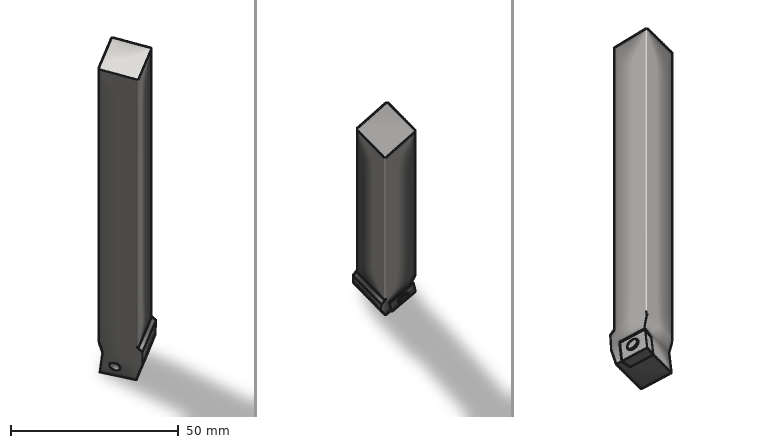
import cadquery as cq
import math


TOTAL_LENGTH = 150.0
SHANK_SIDE = 12.6
SHANK_EDGE_RADIUS = 0.5

HEAD_RIGHT = 14.0
STEP_TOP = 17.4
STEP_BOTTOM = 16.2
TAPER_TOP = 9.9
TAPER_BOTTOM_X = 12.0
GULLET_TOP = 15.9
GULLET_BOTTOM = 10.6
GULLET_RADIUS = 4.5
RAKE_DROP = 0.5
RAKE_RAMP_END = 11.2

INSERT_ANGLE = 80.0
INSERT_WIDTH = 9.6
INSERT_THICKNESS = 3.6
INSERT_TOP = 12.5
CLEARANCE_ANGLE = 7.0
BOSS_DIAMETER = 3.9
BOSS_TOP = 12.9
SCREW_HOLE_DIAMETER = 3.5

lead = (90.0 - INSERT_ANGLE) / 2
lead_slope = math.tan(math.radians(lead))
insert_side = INSERT_WIDTH / math.sin(math.radians(INSERT_ANGLE))
seat_y = INSERT_TOP - INSERT_THICKNESS
flank_inset = INSERT_THICKNESS * math.tan(math.radians(CLEARANCE_ANGLE))
along = insert_side * math.cos(math.radians(lead))
across = insert_side * math.sin(math.radians(lead))
insert_centre = (along + across) / 2
seat_corner = flank_inset / math.cos(math.radians(lead)) / (1 - lead_slope)


def edge_offset(distance):
    """Offset of a head edge, flush with the insert's narrow face, this far from the tip."""
    return seat_corner + (distance - seat_corner) * lead_slope


def prism(points, y_start, y_end):
    """Extrude an XZ outline from y_start to y_end."""
    plane = cq.Workplane("XZ", origin=(0, y_start, 0))
    return plane.polyline(points).close().extrude(y_start - y_end)


def rod(diameter, y_start, y_end):
    """Cylinder along Y through the insert's centre."""
    plane = cq.Workplane("XZ", origin=(insert_centre, y_start, insert_centre))
    return plane.circle(diameter / 2).extrude(y_start - y_end)


def make_insert_body():
    """Rhombus that narrows away from its cutting face."""
    outline = [(0, 0), (along, across), (along + across, along + across), (across, along)]
    cutting_face = cq.Workplane("XZ", origin=(0, INSERT_TOP, 0))
    return cutting_face.polyline(outline).close().extrude(INSERT_THICKNESS, taper=CLEARANCE_ANGLE)


def make_insert():
    """Cutting insert with the low round boss at its centre."""
    return make_insert_body().union(rod(BOSS_DIAMETER, seat_y, BOSS_TOP))


def make_bar():
    """Shank and head outline in one, with the shank's long edges and the gullet rounded."""
    outline = [
        (0, TOTAL_LENGTH),
        (SHANK_SIDE, TOTAL_LENGTH),
        (SHANK_SIDE, STEP_TOP),
        (HEAD_RIGHT, STEP_BOTTOM),
        (HEAD_RIGHT, TAPER_TOP),
        (TAPER_BOTTOM_X, edge_offset(TAPER_BOTTOM_X)),
        (seat_corner, seat_corner),
        (edge_offset(GULLET_BOTTOM), GULLET_BOTTOM),
        (0, GULLET_TOP),
    ]
    bar = prism(outline, 0, SHANK_SIDE)
    gullet_point = (edge_offset(GULLET_BOTTOM), SHANK_SIDE / 2, GULLET_BOTTOM)
    gullet_edge = cq.selectors.NearestToPointSelector(gullet_point)
    bar = bar.edges(gullet_edge).fillet(GULLET_RADIUS)
    shank_middle = (STEP_TOP + TOTAL_LENGTH) / 2
    for x in (0, SHANK_SIDE):
        for y in (0, SHANK_SIDE):
            long_edge = cq.selectors.NearestToPointSelector((x, y, shank_middle))
            bar = bar.edges("|Z").edges(long_edge).fillet(SHANK_EDGE_RADIUS)
    return bar


def make_rake_cut():
    """Material taken off the back of the head: a slope, then a flat."""
    rake_y = SHANK_SIDE - RAKE_DROP
    profile = [
        (SHANK_SIDE, STEP_TOP),
        (rake_y, RAKE_RAMP_END),
        (rake_y, 0),
        (SHANK_SIDE, 0),
    ]
    return cq.Workplane("YZ").polyline(profile).close().extrude(HEAD_RIGHT)


def make_holder():
    """Bar with the insert's pocket and the screw hole behind it."""
    holder = make_bar().cut(make_rake_cut()).cut(make_insert_body())
    return holder.cut(rod(SCREW_HOLE_DIAMETER, 0, seat_y))


holder = make_holder()
insert = make_insert()

result = cq.Compound.makeCompound([holder.val(), insert.val()])